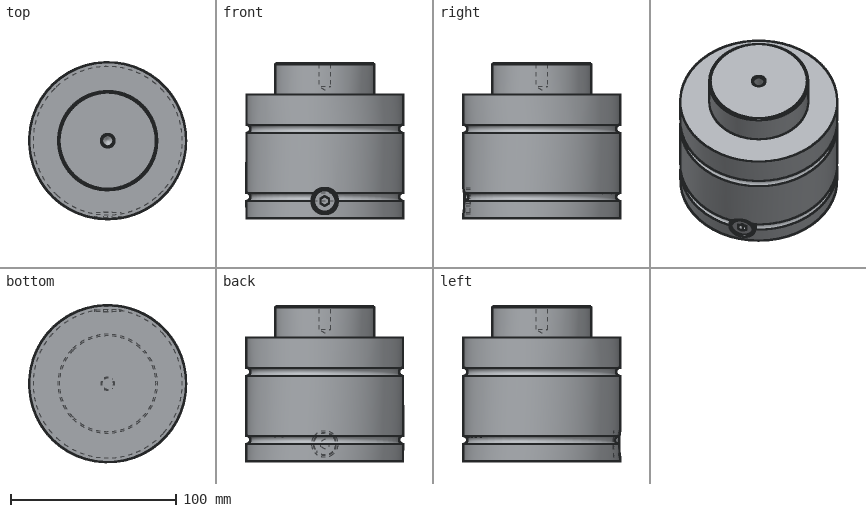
import cadquery as cq
import math

body_diameter = 95.0
body_height = 75.05
total_height = 94.0
boss_diameter = 60.0
boss_chamfer = 0.95

groove_radius = 2.5
groove_heights = (13.0, 54.15)

hole_diameter = 6.8
hole_mouth_diameter = 8.2
hole_depth = 14.25
drill_point_angle = 118.0

plug_height = 10.5
counterbore_diameter = 16.0
counterbore_depth = 4.0
plug_diameter = 14.0
plug_recess = 0.5
plug_chamfer = 0.5
hex_across_flats = 5.0
hex_depth = 3.8

body_radius = body_diameter / 2


def stepped_body():
    boss_height = total_height - body_height
    body = cq.Workplane("XY").circle(body_radius).extrude(body_height)
    boss = (
        cq.Workplane("XY")
        .workplane(offset=body_height)
        .circle(boss_diameter / 2)
        .extrude(boss_height)
        .faces(">Z")
        .chamfer(boss_chamfer)
    )
    return body.union(boss)


def groove_cutter(height):
    return cq.Workplane(cq.Solid.makeTorus(body_radius, groove_radius, cq.Vector(0, 0, height)))


def centre_hole():
    radius = hole_diameter / 2
    mouth_radius = hole_mouth_diameter / 2
    mouth_bottom = total_height - (mouth_radius - radius)
    floor = total_height - hole_depth
    tip = floor - radius / math.tan(math.radians(drill_point_angle / 2))
    return (
        cq.Workplane("XZ")
        .moveTo(0, tip)
        .lineTo(radius, floor)
        .lineTo(radius, mouth_bottom)
        .lineTo(mouth_radius, total_height)
        .lineTo(0, total_height)
        .close()
        .revolve(360, (0, 0, 0), (0, 1, 0))
    )


def plug_plane(depth):
    """Plane facing -Y at the given depth below the side of the body."""
    return cq.Workplane("XZ", origin=(0, depth - body_radius, plug_height))


def screw_plug():
    plug = (
        plug_plane(counterbore_depth)
        .circle(plug_diameter / 2)
        .extrude(counterbore_depth - plug_recess)
        .faces("<Y")
        .chamfer(plug_chamfer)
    )
    return plug


def hex_socket():
    across_corners = hex_across_flats / math.cos(math.radians(30))
    return (
        plug_plane(plug_recess)
        .transformed(rotate=(0, 0, 90))
        .polygon(6, across_corners)
        .extrude(-hex_depth)
    )


result = stepped_body().cut(centre_hole())
for groove_height in groove_heights:
    result = result.cut(groove_cutter(groove_height))

counterbore = plug_plane(counterbore_depth).circle(counterbore_diameter / 2).extrude(counterbore_depth)
result = result.cut(counterbore).union(screw_plug()).cut(hex_socket())